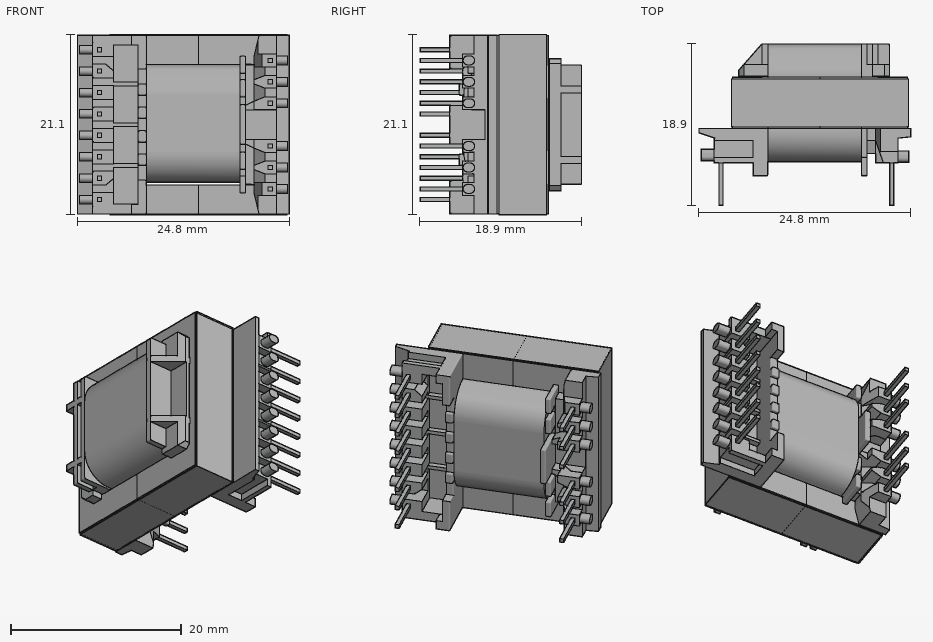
import cadquery as cq

core_center_x = 1.75
core_half_x = 10.25
core_half_y = 3.0
core_half_z = 10.45
window_half_x = 6.8
window_half_z = 7.05
leg_half_z = 2.98

tape_thickness = 0.12
tape_half_y = 2.8

window_left = core_center_x - window_half_x
window_right = core_center_x + window_half_x

winding_left = -4.35
winding_right = 6.6
winding_half = 6.9
winding_shift_z = 0.15
tube_half = 3.4
bore_half_y = 3.12
bore_half_z = 3.05

seat_y = -core_half_y
ledge_y = -4.41
flange_front_y = -8.55
tower_front_y = -7.02
wing_root_y = -4.15
back_y = winding_half
shelf_y = 4.5
bar_bottom_y = 3.12
bobbin_half_z = 10.47
inner_half_z = 7.0
edge_fillet = 0.17
corner_fillet = 0.2

comb_left = -10.61
comb_inner = -8.18
wing_left = -12.4
wing_left_tip_y = -3.52
wing_step = 0.07
plate_left = -5.28
post_left = -6.05
pocket_half_z = 2.15
pocket_pitch = 4.75
pocket_floor_y = -3.72
pocket_places = [pocket_pitch * (i - 1.5) for i in range(4)]
post_inner_z = 9.32
notch_half_z = 6.5
notch_y = tower_front_y
guide_y = -7.45
guide_width = 1.36
guide_places = (1.4, 4.1)
slot_width = 0.87
end_recess_z = 9.6
end_recess_front_y = -6.42
tooth_bevel_x = 0.92
tooth_bevel_z = 0.77
tooth_chamfer = 0.15

flange_right = 7.3
flange_half_z = 8.0
guide_flange_y = -6.42
wire_slot_y = -4.51
middle_plate_half_z = 2.33
wire_slots = ((middle_plate_half_z, 3.22), (5.25, 5.98))
tower_left = 8.28
tower_right = 10.9
tower_waist = 9.52
base_front_y = -5.7
tower_half_z = 0.75
nose_half_z = 0.25
center_gap_half_z = 1.74
base_end_left = 8.85
base_bend_z = 8.08
slope_foot_x = 9.18
bracket_y = -5.95
bracket_edge_z = 2.28
wing_right = 12.4
wing_right_tip_y = -4.0

bar_half_z = 7.75
bar_chamfer = 0.6
bar_left = -7.75
bar_left_y = 3.82
bar_bottom_chamfer = 0.1
recess_y = 3.67
rib_inner_z = 3.7
rib_outer_z = 4.51
second_wall_left = 7.9
bar_right = 9.9
rib_fillet = 0.15

pin_pitch = 2.5
pin_size = 0.5
pin_tip_y = -12.0
left_pin_x = -9.82
right_pin_x = 10.17
left_pin_z = [pin_pitch * (i - 3.5) for i in range(8)]
right_pin_z = [pin_pitch * i for i in (-3, -2, -1, 1, 2, 3)]
stub_end = 12.15
left_stub_y = -6.1
left_stub_size = (1.4, 1.0)
right_stub_y = -6.3
right_stub_size = (1.35, 1.05)


def box(x0, x1, y0, y1, z0, z1):
    """Block between two limits along each axis."""
    size = (abs(x1 - x0), abs(y1 - y0), abs(z1 - z0))
    center = ((x0 + x1) / 2, (y0 + y1) / 2, (z0 + z1) / 2)
    return cq.Workplane("XY").box(*size).translate(center)


def plan_prism(points, z0, z1):
    """Outline in X and Y, extruded along Z."""
    return cq.Workplane("XY").workplane(offset=z0).polyline(points).close().extrude(z1 - z0)


def face_prism(points, y0, y1):
    """Outline in X and Z, extruded along Y between y0 and y1."""
    prism = cq.Workplane("XZ").polyline(points).close().extrude(y1 - y0)
    return prism.translate((0, y1, 0))


def side_prism(points, x0, x1):
    """Outline in Y and Z, extruded along X."""
    return cq.Workplane("YZ").workplane(offset=x0).polyline(points).close().extrude(x1 - x0)


def both_ends(shape):
    """The shape joined with its mirror image below Z = 0."""
    return shape.union(shape.mirror("XY"))


def make_core_half(side):
    """One E-shaped ferrite half; side is -1 for the left one, +1 for the right one."""
    outer = core_center_x + side * core_half_x
    inner = core_center_x + side * window_half_x
    half = box(core_center_x, outer, -core_half_y, core_half_y, -core_half_z, core_half_z)
    window = box(core_center_x, inner, -core_half_y, core_half_y, leg_half_z, window_half_z)
    return half.cut(window).cut(window.mirror("XY"))


def make_tape():
    """Thin band wrapped round the outside of the core."""
    outer = (2 * (core_half_x + tape_thickness), 2 * (core_half_z + tape_thickness))
    inner = (2 * core_half_x, 2 * core_half_z)
    band = cq.Workplane("XZ").rect(*outer).rect(*inner).extrude(tape_half_y, both=True)
    return band.translate((core_center_x, 0, 0))


def make_winding():
    """Copper sleeve with large round corners on the square bobbin tube."""
    corner = winding_half - tube_half
    length_limits = (winding_left, winding_right)
    sleeve = box(*length_limits, -winding_half, winding_half, -winding_half, winding_half)
    sleeve = sleeve.edges("|X").fillet(corner).translate((0, 0, winding_shift_z))
    return sleeve.cut(box(*length_limits, -tube_half, tube_half, -tube_half, tube_half))


def mirrored_plate(half_outline, x0, x1):
    """Flange plate; its Y-Z outline is given for Z >= 0 and mirrored."""
    lower = [(y, -z) for y, z in reversed(half_outline)]
    return side_prism(half_outline + lower, x0, x1)


def zone(y0, y1, half_z):
    """Selector for everything centered between two Y levels and within half_z of the middle."""
    reach = wing_right
    return cq.selectors.BoxSelector((-reach, y0, -half_z), (reach, y1, half_z))


def left_front_flange():
    """Left flange with two tall ends and four wire guides in the notch between them."""
    outline = []
    for z in guide_places:
        low = z - guide_width / 2
        high = z + guide_width / 2
        outline += [(notch_y, low), (guide_y, low), (guide_y, high), (notch_y, high)]
    outline += [(notch_y, notch_half_z), (flange_front_y, notch_half_z)]
    outline += [(flange_front_y, bobbin_half_z), (seat_y, bobbin_half_z)]
    plate = mirrored_plate(outline, plate_left, winding_left)
    guide_zone = zone(guide_y - corner_fillet, guide_y + corner_fillet, notch_half_z)
    plate = plate.edges("|X").edges(guide_zone).fillet(corner_fillet)
    plate = plate.faces(">X").edges("not(>Y)").fillet(edge_fillet)
    notch_zone = zone(flange_front_y, ledge_y, notch_half_z - edge_fillet)
    return plate.faces("<X").edges(notch_zone).fillet(edge_fillet)


def right_front_flange():
    """Right flange with a tall middle, lower ends and wire slots between them."""
    (inner_low, inner_high), (outer_low, outer_high) = wire_slots
    outline = [
        (flange_front_y, inner_low), (wire_slot_y, inner_low),
        (wire_slot_y, inner_high), (guide_flange_y, inner_high),
        (guide_flange_y, outer_low), (wire_slot_y, outer_low),
        (wire_slot_y, outer_high), (guide_flange_y, outer_high),
        (guide_flange_y, flange_half_z), (seat_y, flange_half_z),
    ]
    plate = mirrored_plate(outline, winding_right, flange_right)
    front_zone = zone(flange_front_y - corner_fillet, guide_flange_y + corner_fillet, bobbin_half_z)
    plate = plate.edges("|X").edges(front_zone).fillet(corner_fillet)
    rim_zone = zone(flange_front_y - corner_fillet, wire_slot_y - edge_fillet / 2, bobbin_half_z)
    return plate.faces("<X or >X").edges(rim_zone).fillet(edge_fillet)


def tooth_corner_cutter(z, side):
    """Wedge that chamfers the outer corner of a tooth; side points from the slot into the tooth."""
    corner = [(comb_left, z), (comb_left + tooth_chamfer, z), (comb_left, z + side * tooth_chamfer)]
    return face_prism(corner, tower_front_y, ledge_y)


def left_comb():
    """Left terminal block: wing, comb of eight teeth, pockets and end recesses."""
    profile = [
        (wing_left, seat_y), (wing_left, wing_left_tip_y), (comb_left + wing_step, wing_root_y),
        (comb_left, wing_root_y), (comb_left, tower_front_y),
        (plate_left, tower_front_y), (plate_left, seat_y),
    ]
    comb = plan_prism(profile, -bobbin_half_z, bobbin_half_z)
    for i in range(-3, 4):
        z = i * pin_pitch
        limits = (z - slot_width / 2, z + slot_width / 2)
        comb = comb.cut(box(comb_left, comb_inner, tower_front_y, ledge_y, *limits))
    for z in pocket_places:
        limits = (z - pocket_half_z, z + pocket_half_z)
        comb = comb.cut(box(comb_inner, plate_left, tower_front_y, pocket_floor_y, *limits))
    rib_top_z = pocket_pitch + slot_width / 2
    comb = comb.cut(box(comb_inner, plate_left, tower_front_y, ledge_y, -rib_top_z, rib_top_z))

    post = box(post_left, plate_left, flange_front_y, seat_y, post_inner_z, bobbin_half_z)
    comb = comb.union(both_ends(post))

    recess = box(comb_left, post_left, end_recess_front_y, ledge_y, end_recess_z, bobbin_half_z)
    slot_edge_z = 3 * pin_pitch - slot_width / 2
    bevel_outline = [
        (comb_inner, slot_edge_z), (comb_inner - tooth_bevel_x, slot_edge_z),
        (comb_inner, slot_edge_z - tooth_bevel_z),
    ]
    bevel = face_prism(bevel_outline, tower_front_y, ledge_y)
    tooth_edges = (pin_pitch - slot_width / 2, 2 * pin_pitch + slot_width / 2)
    chamfers = [tooth_corner_cutter(z, side) for z, side in zip(tooth_edges, (-1, 1))]
    for cutter in (recess, bevel, *chamfers):
        comb = comb.cut(cutter).cut(cutter.mirror("XY"))
    return comb


def right_tower(z, nose_drop):
    """One pin tower with a pointed nose toward the winding; nose_drop is its depth below z."""
    outline = [
        (tower_left, z - nose_drop), (tower_left, z + nose_half_z), (tower_waist, z + tower_half_z),
        (tower_right, z + tower_half_z), (tower_right, z - tower_half_z), (tower_waist, z - tower_half_z),
    ]
    return face_prism(outline, tower_front_y, ledge_y)


def right_terminals():
    """Upper half of the right terminal block: ramped base, three towers and a bracket."""
    ramp = tower_waist - tower_left
    base_profile = [
        (tower_left, seat_y), (tower_left, base_front_y + ramp), (tower_waist, base_front_y),
        (tower_right, base_front_y), (tower_right, seat_y),
    ]
    block = plan_prism(base_profile, 0, bobbin_half_z)
    outer_z = 3 * pin_pitch
    outer_base_z = outer_z - tower_half_z
    outer_top_z = outer_z + tower_half_z
    block = block.union(box(tower_left, tower_right, base_front_y, seat_y, outer_base_z, bobbin_half_z))
    block = block.union(box(tower_left, tower_right, tower_front_y, seat_y, outer_base_z, outer_top_z))
    slope = [
        (tower_left, base_front_y + ramp), (tower_left, tower_front_y), (slope_foot_x, tower_front_y),
    ]
    block = block.cut(plan_prism(slope, outer_base_z, bobbin_half_z))
    end_bevel = [(tower_left, base_bend_z), (tower_left, bobbin_half_z), (base_end_left, bobbin_half_z)]
    block = block.cut(face_prism(end_bevel, tower_front_y, seat_y))

    block = block.union(right_tower(2 * pin_pitch, nose_half_z))
    block = block.union(right_tower(pin_pitch, tower_half_z))
    block = block.cut(box(tower_left, tower_right, tower_front_y, ledge_y, 0, center_gap_half_z))

    bracket = [
        (flange_right, center_gap_half_z), (flange_right, bracket_edge_z),
        (tower_left, pin_pitch + nose_half_z), (tower_left, center_gap_half_z),
    ]
    block = block.union(face_prism(bracket, bracket_y, seat_y))
    return block.union(box(winding_right, tower_left, ledge_y, seat_y, 0, inner_half_z))


def right_wing():
    """Overhanging lip along the outer side of the right terminal block."""
    profile = [
        (tower_right, seat_y), (wing_right, seat_y), (wing_right, wing_right_tip_y),
        (tower_right, wing_root_y),
    ]
    return plan_prism(profile, -bobbin_half_z, bobbin_half_z)


def back_wall(x0, x1):
    """Flange wall through the core window, with rounded corners at the back."""
    wall = box(x0, x1, seat_y, back_y, -inner_half_z, inner_half_z)
    return wall.edges("|X and >Y").fillet(corner_fillet)


def left_back_bar():
    """Sloping bar with two triangular ribs behind the left flange."""
    profile = [
        (window_left, bar_bottom_y), (bar_left, bar_bottom_y), (bar_left, bar_left_y), (window_left, back_y),
    ]
    bar = plan_prism(profile, -bar_half_z, bar_half_z)
    bar = bar.cut(box(bar_left, window_left, shelf_y, back_y, -bar_half_z, bar_half_z))
    bar = bar.edges("|Y and <X").chamfer(bar_chamfer)
    bar = bar.edges("|Z and <X and <Y").chamfer(bar_bottom_chamfer)
    root = box(window_left, winding_left, bar_bottom_y, shelf_y, -bar_half_z, bar_half_z)
    bar = bar.union(root.edges("|Y and >X").fillet(edge_fillet))
    bar = bar.union(both_ends(plan_prism(profile, rib_inner_z, rib_outer_z)))
    return bar.cut(box(bar_left, window_left, recess_y, back_y, -rib_inner_z, rib_inner_z))


def right_back_bar():
    """Second wall, bar and two ribs behind the right flange."""
    bar = box(second_wall_left, bar_right, bar_bottom_y, shelf_y, -bar_half_z, bar_half_z)
    bar = bar.edges("|Y and >X").chamfer(bar_chamfer)
    bar = bar.union(box(winding_right, second_wall_left, bar_bottom_y, shelf_y, -inner_half_z, inner_half_z))
    bar = bar.union(back_wall(second_wall_left, window_right))
    rib = box(flange_right, bar_right, bar_bottom_y, back_y, rib_inner_z, rib_outer_z)
    rib = rib.edges(">X and >Y").fillet(rib_fillet)
    return bar.union(both_ends(rib))


def inner_frame():
    """Square tube and the flange parts inside and behind the core window."""
    frame = box(window_left, window_right, -tube_half, tube_half, -tube_half, tube_half)
    frame = frame.union(back_wall(window_left, winding_left)).union(back_wall(winding_right, flange_right))
    return frame.union(box(winding_right, window_right, seat_y, bar_bottom_y, -inner_half_z, inner_half_z))


def add_pins(body, x, places):
    """Square pins that stand on the front of the terminal block."""
    half = pin_size / 2
    for z in places:
        body = body.union(box(x - half, x + half, pin_tip_y, tower_front_y, z - half, z + half))
    return body


def add_stubs(body, x0, x1, y, size, places):
    """Stadium-shaped wire posts on the outer side of the terminal block."""
    for z in places:
        post = cq.Workplane("YZ").workplane(offset=x0).center(y, z).slot2D(*size).extrude(x1 - x0)
        body = body.union(post)
    return body


def make_bobbin():
    """Bobbin with its flanges, terminal blocks, pins and wire posts."""
    bobbin = inner_frame()
    parts = [
        left_front_flange(), right_front_flange(), left_comb(), both_ends(right_terminals()),
        right_wing(), left_back_bar(), right_back_bar(),
    ]
    for part in parts:
        bobbin = bobbin.union(part)
    bore = box(window_left, window_right, -bore_half_y, bore_half_y, -bore_half_z, bore_half_z)
    bobbin = bobbin.cut(bore)
    bobbin = add_pins(bobbin, left_pin_x, left_pin_z)
    bobbin = add_pins(bobbin, right_pin_x, right_pin_z)
    bobbin = add_stubs(bobbin, -stub_end, comb_left, left_stub_y, left_stub_size, left_pin_z)
    return add_stubs(bobbin, tower_right, stub_end, right_stub_y, right_stub_size, right_pin_z)


core_halves = [make_core_half(side) for side in (-1, 1)]
tape = make_tape()
winding = make_winding()
bobbin = make_bobbin()

result = cq.Compound.makeCompound([
    *[half.val() for half in core_halves],
    tape.val(),
    winding.val(),
    bobbin.val(),
])